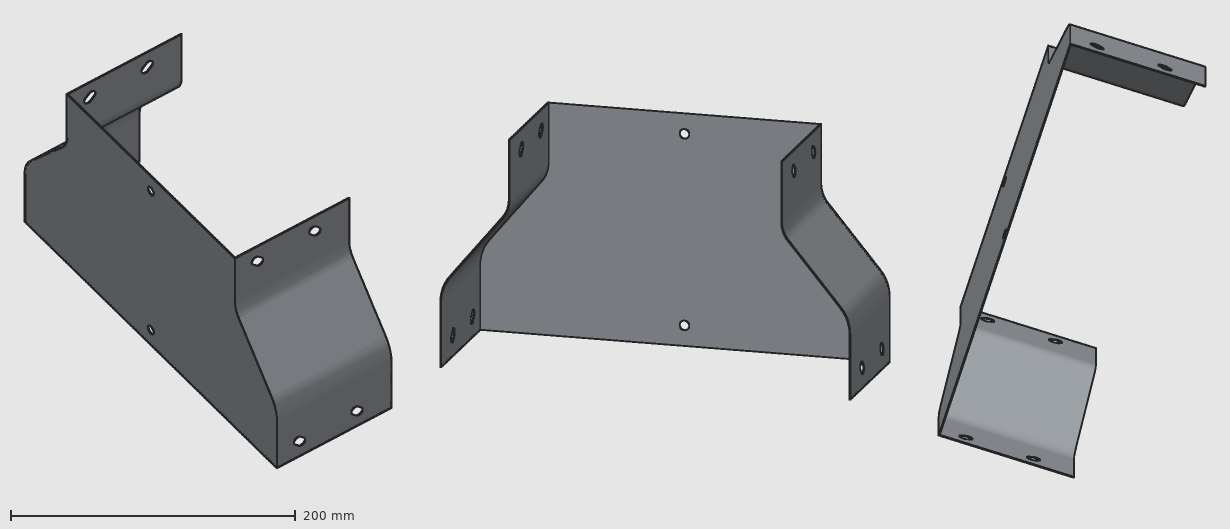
import cadquery as cq
import math

base_width = 300.0
top_width = 200.0
height = 170.0
depth = 100.0
thickness = 0.8

slope_rise = 60.0
lower_bend_z = 58.6
lower_bend_radius = 30.0
upper_bend_radius = 20.0
side_step = (base_width - top_width) / 2
slope_angle = math.atan2(side_step, slope_rise)
upper_bend_z = lower_bend_z + slope_rise

plate_hole_diameter = 7.0
slot_width = 7.0
slot_length = 11.0
slot_tilt = 45.0
hole_edge_distance = 15.0
slot_y_offsets = (20.0, 70.0)
hole_heights = (hole_edge_distance, height - hole_edge_distance)

cut_margin = 5.0


def outline_solid(inset, y_start, y_end):
    """Solid of the front outline, its sides moved inwards by inset."""
    corner_drop = inset * math.tan(slope_angle / 2)
    half_base = base_width / 2 - inset
    half_top = top_width / 2 - inset
    lower_z = lower_bend_z - corner_drop
    upper_z = upper_bend_z - corner_drop
    body = (
        cq.Workplane("XZ", origin=(0, y_start, 0))
        .moveTo(-half_base, 0)
        .lineTo(half_base, 0)
        .lineTo(half_base, lower_z)
        .lineTo(half_top, upper_z)
        .lineTo(half_top, height)
        .lineTo(-half_top, height)
        .lineTo(-half_top, upper_z)
        .lineTo(-half_base, lower_z)
        .close()
        .extrude(y_start - y_end)
    )
    body = bend_corners(body, half_base, lower_z, lower_bend_radius - inset)
    return bend_corners(body, half_top, upper_z, upper_bend_radius + inset)


def bend_corners(body, half_width, z, radius):
    """Round the mirrored pair of bend corners at the given place."""
    for x in (-half_width, half_width):
        corner = cq.selectors.NearestToPointSelector((x, depth / 2, z))
        body = body.edges("|Y").edges(corner).fillet(radius)
    return body


def make_shell():
    """Front plate with the two bent side walls behind it."""
    inner = outline_solid(thickness, thickness, depth)
    return outline_solid(0, 0, depth).cut(inner)


def plate_holes():
    """Round holes near the top and bottom of the front plate."""
    return (
        cq.Workplane("XZ", origin=(0, -cut_margin, 0))
        .pushPoints([(0, z) for z in hole_heights])
        .circle(plate_hole_diameter / 2)
        .extrude(-(thickness + 2 * cut_margin))
    )


def wall_slots(wall_half_width, z, side):
    """Tilted slots through one wall; the two walls have mirrored tilts."""
    return (
        cq.Workplane("YZ", origin=(side * wall_half_width, 0, 0))
        .pushPoints([(y, z) for y in slot_y_offsets])
        .slot2D(slot_length, slot_width, -side * slot_tilt)
        .extrude(cut_margin, both=True)
    )


result = make_shell().cut(plate_holes())
for side in (-1, 1):
    for half_width, z in zip((base_width / 2, top_width / 2), hole_heights):
        result = result.cut(wall_slots(half_width, z, side))